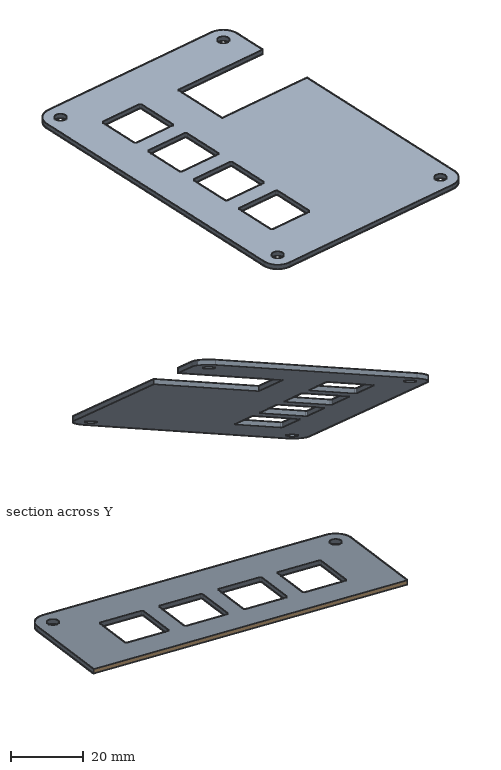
import cadquery as cq

plate_length = 101.0
plate_width = 69.13
plate_thickness = 1.5
corner_radius = 5.0

hole_diameter = 3.4
hole_inset = corner_radius

key_count = 4
key_size = 14.0
key_pitch = 19.05
key_corner_radius = 0.5
first_key_left = 14.25
key_row_bottom = 12.0

notch_left = 15.8
notch_width = 18.5
notch_depth = 30.8


def make_plate():
    """Flat plate with four rounded corners."""
    plate = cq.Workplane("XY").box(plate_length, plate_width, plate_thickness, centered=False)
    return plate.edges("|Z").fillet(corner_radius)


def make_mounting_holes():
    """Cutters for the through holes in the four corners."""
    centres = [
        (x, y)
        for x in (hole_inset, plate_length - hole_inset)
        for y in (hole_inset, plate_width - hole_inset)
    ]
    return cq.Workplane("XY").pushPoints(centres).circle(hole_diameter / 2).extrude(plate_thickness)


def make_key_openings():
    """Cutters for the evenly spaced switch openings, with lightly rounded corners."""
    centre_y = key_row_bottom + key_size / 2
    centres = [
        (first_key_left + key_size / 2 + i * key_pitch, centre_y)
        for i in range(key_count)
    ]
    openings = cq.Workplane("XY").pushPoints(centres).rect(key_size, key_size).extrude(plate_thickness)
    return openings.edges("|Z").fillet(key_corner_radius)


def make_notch():
    """Cutter for the sharp-cornered notch."""
    notch = cq.Workplane("XY").box(notch_width, notch_depth, plate_thickness, centered=False)
    return notch.translate((notch_left, plate_width - notch_depth, 0))


result = (
    make_plate()
    .cut(make_mounting_holes())
    .cut(make_key_openings())
    .cut(make_notch())
)